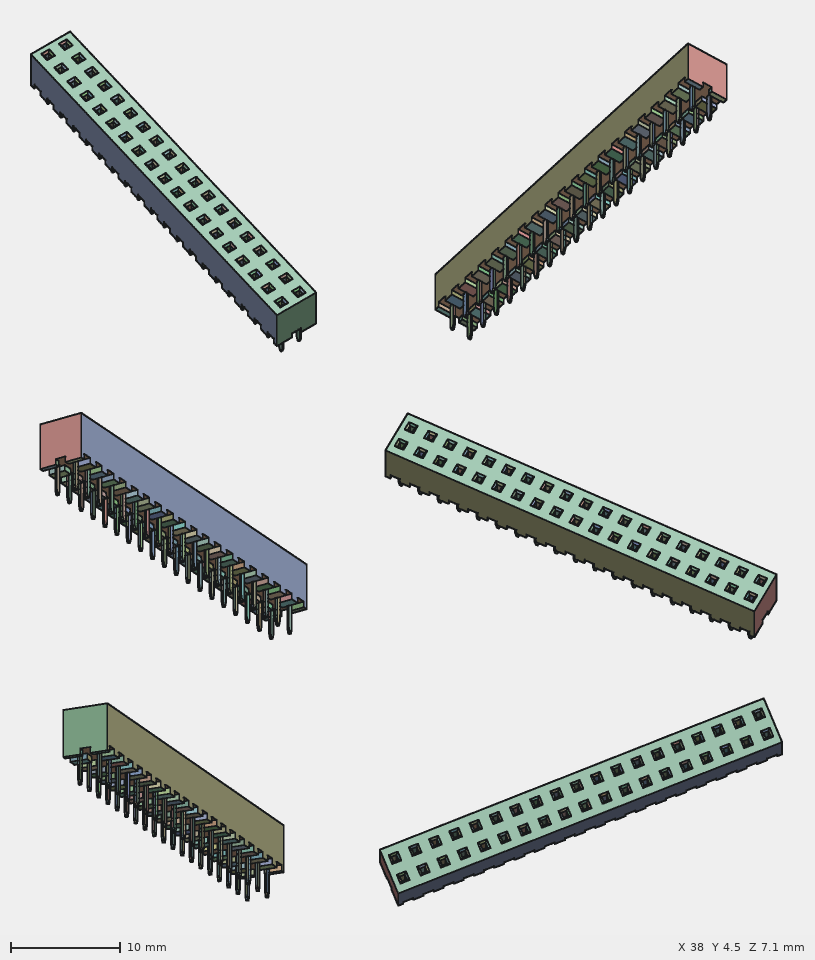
import cadquery as cq

columns = 19
rows = 2
body_length = 38.0
body_width = 4.5
total_height = 7.1
body_height = 4.55
pitch = body_length / columns

relief_depth = 0.57
notch_width = 1.0
channel_width = 1.03

funnel_width = 0.9
socket_width = 0.5
funnel_depth = (funnel_width - socket_width) / 2
socket_depth = 2.28

pin_width = 0.5
pin_thickness = 0.2
tip_width = 0.2
tip_length = 0.5

body_bottom = total_height - body_height
relief_top = body_bottom + relief_depth
column_positions = [(i - (columns - 1) / 2) * pitch for i in range(columns)]
row_positions = [(j - (rows - 1) / 2) * pitch for j in range(rows)]
contact_positions = [(x, y) for x in column_positions for y in row_positions]


def make_body():
    """Rectangular housing standing on feet left between the notches and the channel."""
    body = cq.Workplane("XY", origin=(0, 0, body_bottom)).box(
        body_length, body_width, body_height, centered=(True, True, False)
    )
    relief = cq.Workplane("XY", origin=(0, 0, body_bottom))
    notches = (
        relief.pushPoints([(x, 0) for x in column_positions])
        .rect(notch_width, body_width)
        .extrude(relief_depth)
    )
    channel = relief.rect(body_length, channel_width).extrude(relief_depth)
    return body.cut(notches).cut(channel)


def make_opening():
    """Cutter for one contact: a square lead-in funnel above a blind square socket."""
    funnel = (
        cq.Workplane("XY", origin=(0, 0, total_height))
        .rect(funnel_width, funnel_width)
        .workplane(offset=-funnel_depth)
        .rect(socket_width, socket_width)
        .loft(ruled=True)
    )
    socket = (
        cq.Workplane("XY", origin=(0, 0, total_height - funnel_depth))
        .rect(socket_width, socket_width)
        .extrude(funnel_depth - socket_depth)
    )
    return funnel.union(socket)


def make_pin():
    """One flat pin hanging from the relief surface down to Z = 0."""
    outline = [
        (-tip_width / 2, 0),
        (tip_width / 2, 0),
        (pin_width / 2, tip_length),
        (pin_width / 2, relief_top),
        (-pin_width / 2, relief_top),
        (-pin_width / 2, tip_length),
    ]
    return cq.Workplane("XZ").polyline(outline).close().extrude(pin_thickness / 2, both=True)


def at_contacts(shape):
    """Copies of a shape at every contact position."""
    solid = shape.val()
    copies = [solid.translate(cq.Vector(x, y, 0)) for x, y in contact_positions]
    return cq.Workplane("XY").newObject([cq.Compound.makeCompound(copies)])


result = make_body().cut(at_contacts(make_opening())).union(at_contacts(make_pin()))